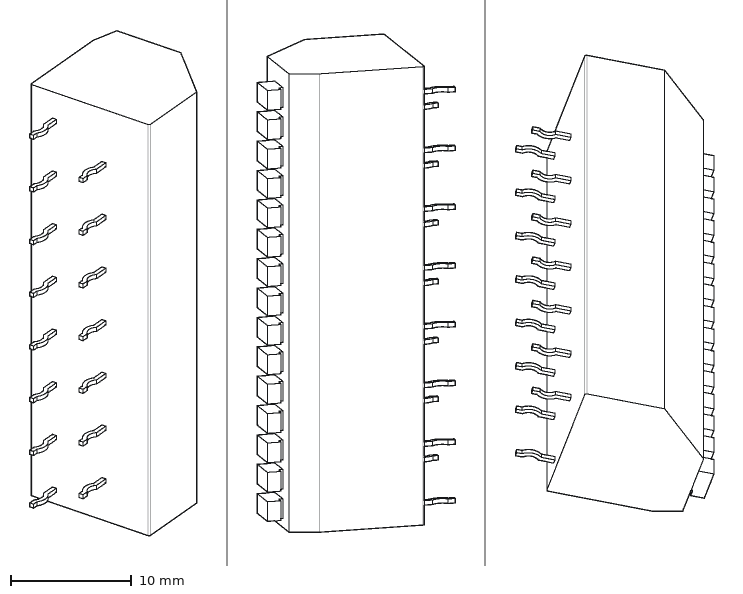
import cadquery as cq

length = 39.0
width = 12.0
depth = 11.5
left_slope_run = 0.65
left_slope_depth = 2.4
ramp_run = 4.88
ramp_depth = 4.68
front_edge_radius = 0.15

position_span = 35.0
position_count = 15
pitch = position_span / (position_count - 1)
first_button_drop = 2.4
first_pin_drop = 2.7

button_left = 1.87
button_right = 4.88
button_height = 1.52
button_length = 1.68
lip_overhang = 0.62
lip_gap = 0.35

pin_size = 0.4
pin_reach = 3.28
left_row_x = 2.4
row_spacing = 5.0
bend_centre = 2.0
bend_chord = 1.65
bend_height = 0.292


def make_housing():
    """Five-sided prism with a slope on the left and a ramp on the right of its back."""
    outline = [
        (0, 0),
        (width, 0),
        (width, depth - ramp_depth),
        (width - ramp_run, depth),
        (left_slope_run, depth),
        (0, depth - left_slope_depth),
    ]
    prism = cq.Workplane("XY").polyline(outline).close().extrude(length)
    return prism.faces("<Y").edges("|Z").fillet(front_edge_radius)


def make_button(centre_z):
    """Block standing on the back face, with a lip overhanging towards -X."""
    back = depth + button_height
    stem_left = button_left + lip_overhang
    outline = [
        (stem_left, depth),
        (button_right, depth),
        (button_right, back),
        (button_left, back),
        (button_left, depth + lip_gap),
        (stem_left, depth + lip_gap),
    ]
    bottom = cq.Workplane("XY", origin=(0, 0, centre_z - button_length / 2))
    return bottom.polyline(outline).close().extrude(button_length)


def make_pin(row_x, kink, centre_z):
    """Square pin with an arched kink; kink is +1 towards +X and -1 towards -X."""
    half_chord = bend_chord / 2
    outer_radius = (half_chord**2 + bend_height**2) / (2 * bend_height)
    inner_radius = outer_radius - pin_size
    centre_setback = inner_radius - bend_height
    inner_half_chord = (inner_radius**2 - centre_setback**2) ** 0.5

    outer_x = row_x + kink * pin_size / 2
    inner_x = row_x - kink * pin_size / 2
    bottom = cq.Workplane("XY", origin=(0, 0, centre_z - pin_size / 2))
    return (
        bottom.moveTo(outer_x, 0)
        .lineTo(outer_x, half_chord - bend_centre)
        .threePointArc(
            (outer_x + kink * bend_height, -bend_centre),
            (outer_x, -half_chord - bend_centre),
        )
        .lineTo(outer_x, -pin_reach)
        .lineTo(inner_x, -pin_reach)
        .lineTo(inner_x, -inner_half_chord - bend_centre)
        .threePointArc(
            (inner_x + kink * bend_height, -bend_centre),
            (inner_x, inner_half_chord - bend_centre),
        )
        .lineTo(inner_x, 0)
        .close()
        .extrude(pin_size)
    )


result = make_housing()
for position in range(position_count):
    drop = position * pitch
    result = result.union(make_button(length - first_button_drop - drop))
    in_left_row = position % 2 == 0
    row_x = left_row_x if in_left_row else left_row_x + row_spacing
    kink = 1 if in_left_row else -1
    result = result.union(make_pin(row_x, kink, length - first_pin_drop - drop))